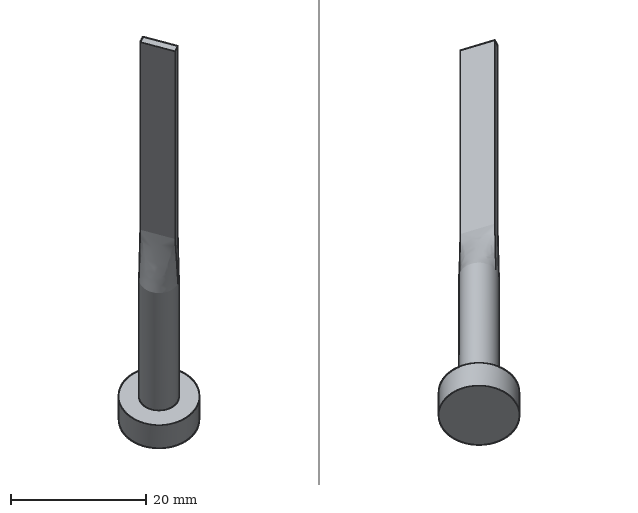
import cadquery as cq

total_length = 80.0
head_diameter = 12.0
head_height = 5.0
shank_diameter = 6.0
shank_top = 30.0
blade_start = total_length / 2
blade_width = 5.5
blade_thickness = 1.2


def cylinder(diameter, bottom, top):
    return cq.Workplane("XY").workplane(offset=bottom).circle(diameter / 2).extrude(top - bottom)


head = cylinder(head_diameter, 0, head_height)
shank = cylinder(shank_diameter, head_height, shank_top)

transition = (
    cq.Workplane("XY")
    .workplane(offset=shank_top)
    .circle(shank_diameter / 2)
    .workplane(offset=blade_start - shank_top)
    .rect(blade_width, blade_thickness)
    .loft(ruled=True)
)

blade = (
    cq.Workplane("XY")
    .workplane(offset=blade_start)
    .rect(blade_width, blade_thickness)
    .extrude(total_length - blade_start)
)

result = head.union(shank).union(transition).union(blade)